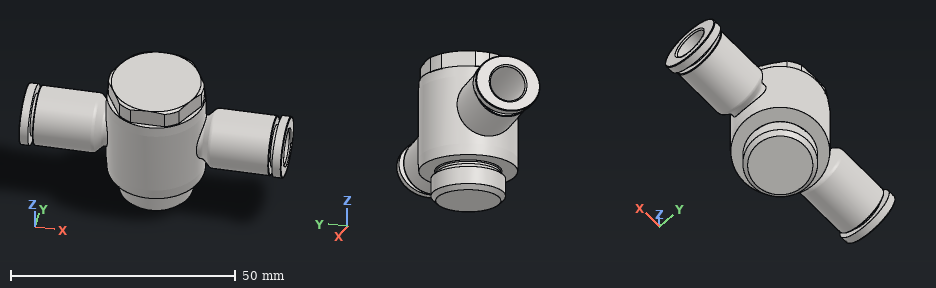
import cadquery as cq
import math


stud_radius = 8.35
stud_chamfer = 1.1
stud_top = 5.1
neck_radius = 7.3
neck_cone_height = stud_radius - neck_radius
neck_top_radius = 7.5

body_radius = 11.2
body_end_radius = 11.0
body_bottom = 7.0
body_top = 28.0
body_taper_height = 2.5

head_across_flats = 20.0
head_across_corners = head_across_flats / math.cos(math.radians(30))
head_corner_radius = 10.7
head_top = 32.0
head_chamfer_radius = head_across_flats / 2
head_chamfer_height = 0.35

arm_height = 17.5
arm_end = 29.8
sleeve_radius = 6.8
sleeve_outer = 26.8
sleeve_inner = 13.2
sleeve_chamfer = 0.2
shoulder_fillet = 0.95
root_fillet = 0.7
root_radius = 4.95
cone_length = sleeve_radius - root_radius
collar_radius = 4.8

button_width = 15.0
button_height = 13.05
button_thickness = 2.1
button_chamfer = 0.2

bore_radius = 4.05
bore_depth = 16.7
bore_chamfer = 0.35


def make_stud():
    """Turned stud: chamfered tip, plain thread cylinder and undercut neck."""
    neck_bottom = stud_top + neck_cone_height
    neck_end = body_bottom - (neck_top_radius - neck_radius)
    return (
        cq.Workplane("XZ")
        .moveTo(0, 0)
        .lineTo(stud_radius - stud_chamfer, 0)
        .lineTo(stud_radius, stud_chamfer)
        .lineTo(stud_radius, stud_top)
        .lineTo(neck_radius, neck_bottom)
        .lineTo(neck_radius, neck_end)
        .lineTo(neck_top_radius, body_bottom)
        .lineTo(0, body_bottom)
        .close()
        .revolve(360, (0, 0, 0), (0, 1, 0))
    )


def make_body():
    """Round body whose two ends taper in slightly."""
    return (
        cq.Workplane("XZ")
        .moveTo(0, body_bottom)
        .lineTo(body_end_radius, body_bottom)
        .lineTo(body_radius, body_bottom + body_taper_height)
        .lineTo(body_radius, body_top - body_taper_height)
        .lineTo(body_end_radius, body_top)
        .lineTo(0, body_top)
        .close()
        .revolve(360, (0, 0, 0), (0, 1, 0))
    )


def make_head():
    """Hexagon with flats facing +Y and -Y, trimmed by a chamfered round blank."""
    hexagon = (
        cq.Workplane("XY", origin=(0, 0, body_top))
        .polygon(6, head_across_corners)
        .extrude(head_top - body_top)
    )
    blank = (
        cq.Workplane("XZ")
        .moveTo(0, body_top)
        .lineTo(head_corner_radius, body_top)
        .lineTo(head_corner_radius, head_top - head_chamfer_height)
        .lineTo(head_chamfer_radius, head_top)
        .lineTo(0, head_top)
        .close()
        .revolve(360, (0, 0, 0), (0, 1, 0))
    )
    return hexagon.intersect(blank)


def fillet_ring(shaft, x, radius):
    """Round the circular edge of an arm shaft whose centre lies at distance x along the arm."""
    ring = cq.selectors.NearestToPointSelector((x, 0, arm_height))
    return shaft.edges("%CIRCLE").edges(ring).fillet(radius)


def make_arm():
    """Arm on the +X side, ending in the oval button; it starts at the stud axis."""
    root_end = sleeve_inner - cone_length
    button_start = arm_end - button_thickness

    shaft = (
        cq.Workplane("XZ", origin=(0, 0, arm_height))
        .moveTo(0, 0)
        .lineTo(0, root_radius)
        .lineTo(root_end, root_radius)
        .lineTo(sleeve_inner, sleeve_radius)
        .lineTo(sleeve_outer - sleeve_chamfer, sleeve_radius)
        .lineTo(sleeve_outer, sleeve_radius - sleeve_chamfer)
        .lineTo(sleeve_outer, collar_radius)
        .lineTo(button_start, collar_radius)
        .lineTo(button_start, 0)
        .close()
        .revolve(360, (0, 0, 0), (1, 0, 0))
    )
    shaft = fillet_ring(shaft, sleeve_inner, shoulder_fillet)
    shaft = fillet_ring(shaft, root_end, root_fillet)
    button = (
        cq.Workplane("YZ", origin=(button_start, 0, arm_height))
        .ellipse(button_width / 2, button_height / 2)
        .extrude(button_thickness)
        .faces(">X")
        .chamfer(button_chamfer)
    )
    return shaft.union(button)


def make_bore():
    """Blind tube bore on the +X side with a chamfered mouth."""
    mouth_radius = bore_radius + bore_chamfer
    return (
        cq.Workplane("XZ", origin=(0, 0, arm_height))
        .moveTo(arm_end, 0)
        .lineTo(arm_end, mouth_radius)
        .lineTo(arm_end - bore_chamfer, bore_radius)
        .lineTo(arm_end - bore_depth, bore_radius)
        .lineTo(arm_end - bore_depth, 0)
        .close()
        .revolve(360, (0, 0, 0), (1, 0, 0))
    )


right_arm = make_arm().cut(make_bore())
left_arm = right_arm.mirror("YZ")
result = make_stud().union(make_body()).union(make_head()).union(right_arm).union(left_arm)